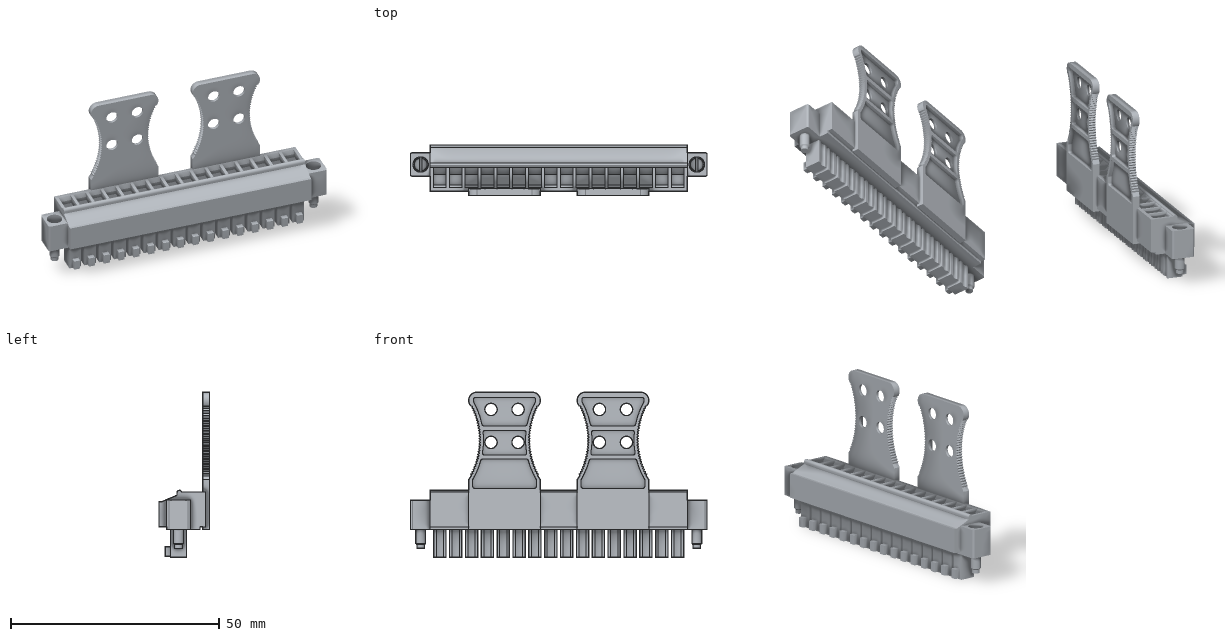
import cadquery as cq
import math


POLES = 16
PITCH = 3.81

LENGTH = 61.8
FRONT_Y = -6.45
BACK_Y = 4.72
TOP_Z = 9.04
UNDERCUT_Z = 0.68
FRONT_STEP_Y = -5.2
BACK_STEP_Y = 2.85
BACK_EDGE_Z = 6.72
BACK_LEDGE_Y = 4.04
SLOPE_TOP_Z = 8.26
RIDGE_BACK_Y = 0.39
RIDGE_BACK_RADIUS = 0.65
RIDGE_TOP_Z = 9.46
RIDGE_FRONT_RADIUS = RIDGE_TOP_Z - TOP_Z
RIDGE_Y = RIDGE_BACK_Y - RIDGE_BACK_RADIUS

POCKET_WIDTH = 3.07
POCKET_BACK_Y = RIDGE_Y - RIDGE_FRONT_RADIUS
POCKET_FRONT_Y = -5.57
FLOOR_BACK_Y = -2.4
FLOOR_FRONT_Y = -4.93
BACK_WALL_ANGLE = 47
FRONT_BEVEL_ANGLE = 56

LEG_WIDTH = 3.0
LEG_DEPTH = 3.92
LEG_LENGTH = 6.7
FLUTE_RADIUS = 1.3
FLUTE_WIDTH = 1.72
KEY_WIDTH = 1.5
KEY_REACH = 1.27
KEY_TOP_Z = -4.1
KEY_BOTTOM_Z = -6.45

TOTAL_LENGTH = 71.35
EAR_DEPTH = 5.68
EAR_HEIGHT = 7.1
EAR_ROUND = 0.5
SCREW_X = 33.18
HEAD_DIAMETER = 3.7
HEAD_TOP_Z = 4.0
HEAD_HEIGHT = 2.0
HEAD_CHAMFER = 0.3
DRIVER_SLOT_WIDTH = 0.66
DRIVER_SLOT_DEPTH = 0.8
SHANK_DIAMETER = 2.4
SHANK_END_Z = -3.3
TIP_DIAMETER = 1.85
TIP_TOP_Z = -3.6
TIP_END_Z = -4.5

HANDLE_X = 13.03
HANDLE_WIDTH = 17.26
HANDLE_FRONT_Y = -7.48
HANDLE_THICKNESS = 1.7
HANDLE_TOP_Z = 33.05
SHOULDER_Z = 12.0
CORNER_RADIUS = 2.0
CORNER_END_ANGLE = 222
WAIST_Z = 21.55
WAIST_HALF_WIDTH = 5.78
VALLEY_RADIUS = 18.0
TOOTH_DEPTH = 0.32
TOOTH_PITCH = 0.644
TEETH_ABOVE_WAIST = 13
TEETH_BELOW_WAIST = 14

PANEL_DEPTH = 1.0
PANELS = [(9.9, 16.96, 15.3), (17.9, 23.87, 15.3), (24.93, 31.8, 14.9)]
PANEL_WAIST_HALF_WIDTH = 5.05
PANEL_CORNER = 0.5
HOLE_DIAMETER = 2.9
HOLE_SPACING_X = 6.5
HOLE_ROWS_Z = (20.95, 28.87)

SIDES = (-1, 1)
POLE_XS = [(i - (POLES - 1) / 2) * PITCH for i in range(POLES)]
OVERSHOOT = 1.0


def box(x_span, y_span, z_span):
    """Box between the given limits on each axis."""
    size = [high - low for low, high in (x_span, y_span, z_span)]
    return cq.Workplane("XY").box(*size, centered=False).translate((x_span[0], y_span[0], z_span[0]))


def prism_along_x(outline, center_x, width):
    """Extrude a closed outline drawn in (Y, Z) symmetrically about center_x."""
    return outline.extrude(width / 2, both=True).translate((center_x, 0, 0))


def housing_block():
    """Long block with stepped underside, sloping back and a rounded ridge on top."""
    diagonal = math.sqrt(0.5)
    back_arc_mid = (
        RIDGE_Y + RIDGE_BACK_RADIUS * diagonal,
        RIDGE_TOP_Z - RIDGE_BACK_RADIUS * (1 - diagonal),
    )
    front_arc_mid = (
        RIDGE_Y - RIDGE_FRONT_RADIUS * diagonal,
        RIDGE_TOP_Z - RIDGE_FRONT_RADIUS * (1 - diagonal),
    )
    outline = (
        cq.Workplane("YZ")
        .moveTo(FRONT_STEP_Y, 0)
        .lineTo(BACK_STEP_Y, 0)
        .lineTo(BACK_STEP_Y, UNDERCUT_Z)
        .lineTo(BACK_Y, UNDERCUT_Z)
        .lineTo(BACK_Y, BACK_EDGE_Z)
        .lineTo(BACK_LEDGE_Y, BACK_EDGE_Z)
        .lineTo(RIDGE_BACK_Y, SLOPE_TOP_Z)
        .lineTo(RIDGE_BACK_Y, RIDGE_TOP_Z - RIDGE_BACK_RADIUS)
        .threePointArc(back_arc_mid, (RIDGE_Y, RIDGE_TOP_Z))
        .threePointArc(front_arc_mid, (RIDGE_Y - RIDGE_FRONT_RADIUS, TOP_Z))
        .lineTo(FRONT_Y, TOP_Z)
        .lineTo(FRONT_Y, UNDERCUT_Z)
        .lineTo(FRONT_STEP_Y, UNDERCUT_Z)
        .close()
    )
    return prism_along_x(outline, 0, LENGTH)


def wire_pocket(center_x):
    """Cutter for one funnel-shaped pocket open at the top."""
    back_slope = math.tan(math.radians(BACK_WALL_ANGLE))
    bevel_slope = math.tan(math.radians(FRONT_BEVEL_ANGLE))
    floor_z = TOP_Z - (POCKET_BACK_Y - FLOOR_BACK_Y) * back_slope
    bevel_z = TOP_Z - (FLOOR_FRONT_Y - POCKET_FRONT_Y) * bevel_slope
    outline = (
        cq.Workplane("YZ")
        .moveTo(POCKET_BACK_Y, TOP_Z)
        .lineTo(FLOOR_BACK_Y, floor_z)
        .lineTo(FLOOR_FRONT_Y, floor_z)
        .lineTo(FLOOR_FRONT_Y, bevel_z)
        .lineTo(POCKET_FRONT_Y, TOP_Z)
        .close()
    )
    return prism_along_x(outline, center_x, POCKET_WIDTH)


def plug_leg(center_x):
    """Leg below one pole, with a hollow flute down its front and a key on its back."""
    x_span = (center_x - LEG_WIDTH / 2, center_x + LEG_WIDTH / 2)
    leg = box(x_span, (-LEG_DEPTH / 2, LEG_DEPTH / 2), (-LEG_LENGTH, 0))
    axis_offset = math.sqrt(FLUTE_RADIUS**2 - (FLUTE_WIDTH / 2) ** 2)
    flute = (
        cq.Workplane("XY")
        .center(center_x, -LEG_DEPTH / 2 - axis_offset)
        .circle(FLUTE_RADIUS)
        .extrude(-LEG_LENGTH)
    )
    key = box(
        (center_x - KEY_WIDTH / 2, center_x + KEY_WIDTH / 2),
        (0, LEG_DEPTH / 2 + KEY_REACH),
        (KEY_BOTTOM_Z, KEY_TOP_Z),
    )
    return leg.cut(flute).union(key)


def ear(side):
    """Screw ear at one end, with its outer upright edges rounded."""
    length = (TOTAL_LENGTH - LENGTH) / 2
    blank = cq.Workplane("XY").box(length, EAR_DEPTH, EAR_HEIGHT, centered=(True, True, False))
    outer_edges = ">X and |Z" if side > 0 else "<X and |Z"
    return blank.edges(outer_edges).fillet(EAR_ROUND).translate((side * (LENGTH + length) / 2, 0, 0))


def screw_bore(side):
    """Counterbored hole that a screw fills below its head."""
    shoulder_z = HEAD_TOP_Z - HEAD_HEIGHT
    bore = cq.Workplane("XY").circle(SHANK_DIAMETER / 2).extrude(shoulder_z)
    head_room = (
        cq.Workplane("XY", origin=(0, 0, shoulder_z))
        .circle(HEAD_DIAMETER / 2)
        .extrude(EAR_HEIGHT - shoulder_z)
    )
    return bore.union(head_room).translate((side * SCREW_X, 0, 0))


def make_housing():
    """Housing block with ears, legs, wire pockets and screw bores."""
    housing = housing_block()
    for side in SIDES:
        housing = housing.union(ear(side)).cut(screw_bore(side))
    for x in POLE_XS:
        housing = housing.union(plug_leg(x)).cut(wire_pocket(x))
    return housing


def make_screw(side):
    """Slotted screw with a plain shank and a narrower tip."""
    shoulder_z = HEAD_TOP_Z - HEAD_HEIGHT
    profile = (
        cq.Workplane("XZ")
        .moveTo(0, HEAD_TOP_Z)
        .lineTo(HEAD_DIAMETER / 2 - HEAD_CHAMFER, HEAD_TOP_Z)
        .lineTo(HEAD_DIAMETER / 2, HEAD_TOP_Z - HEAD_CHAMFER)
        .lineTo(HEAD_DIAMETER / 2, shoulder_z)
        .lineTo(SHANK_DIAMETER / 2, shoulder_z)
        .lineTo(SHANK_DIAMETER / 2, SHANK_END_Z)
        .lineTo(TIP_DIAMETER / 2, TIP_TOP_Z)
        .lineTo(TIP_DIAMETER / 2, TIP_END_Z)
        .lineTo(0, TIP_END_Z)
        .close()
    )
    driver_slot = box(
        (-DRIVER_SLOT_WIDTH / 2, DRIVER_SLOT_WIDTH / 2),
        (-HEAD_DIAMETER, HEAD_DIAMETER),
        (HEAD_TOP_Z - DRIVER_SLOT_DEPTH, HEAD_TOP_Z + OVERSHOOT),
    )
    screw = profile.revolve(360, (0, 0, 0), (0, 1, 0)).cut(driver_slot)
    return screw.translate((side * SCREW_X, 0, 0))


def waist_point(radius, angle):
    """Point on the right-hand waist arc; the angle is in radians, measured up from the waist."""
    center_x = WAIST_HALF_WIDTH + VALLEY_RADIUS
    return (center_x - radius * math.cos(angle), WAIST_Z + radius * math.sin(angle))


def toothed_edge():
    """Tips and valleys of the right-hand grip teeth, from bottom to top."""
    step = TOOTH_PITCH / VALLEY_RADIUS
    points = []
    for tooth in range(-TEETH_BELOW_WAIST, TEETH_ABOVE_WAIST):
        points.append(waist_point(VALLEY_RADIUS, tooth * step))
        points.append(waist_point(VALLEY_RADIUS - TOOTH_DEPTH, (tooth + 0.5) * step))
    points.append(waist_point(VALLEY_RADIUS, TEETH_ABOVE_WAIST * step))
    return points


def handle_blank():
    """Plate with a waisted, toothed outline, centred on X = 0."""
    half = HANDLE_WIDTH / 2
    corner_x = half - CORNER_RADIUS
    corner_z = HANDLE_TOP_Z - CORNER_RADIUS
    end_angle = math.radians(CORNER_END_ANGLE)
    round_end = (
        corner_x - CORNER_RADIUS * math.cos(end_angle),
        corner_z + CORNER_RADIUS * math.sin(end_angle),
    )
    teeth = toothed_edge()
    mirrored_teeth = [(-x, z) for x, z in reversed(teeth)]
    outline = (
        cq.Workplane("XZ", origin=(0, HANDLE_FRONT_Y + HANDLE_THICKNESS, 0))
        .moveTo(-half, 0)
        .lineTo(half, 0)
        .lineTo(half, SHOULDER_Z)
    )
    for point in teeth:
        outline = outline.lineTo(*point)
    outline = (
        outline.lineTo(*round_end)
        .threePointArc((half, corner_z), (corner_x, HANDLE_TOP_Z))
        .lineTo(-corner_x, HANDLE_TOP_Z)
        .threePointArc((-half, corner_z), (-round_end[0], round_end[1]))
    )
    for point in mirrored_teeth:
        outline = outline.lineTo(*point)
    return outline.lineTo(-half, SHOULDER_Z).close().extrude(HANDLE_THICKNESS)


def front_panels():
    """Cutter for the sunk panels, whose sides follow the waist at an even distance."""
    waist_center_x = WAIST_HALF_WIDTH + VALLEY_RADIUS
    side_radius = waist_center_x - PANEL_WAIST_HALF_WIDTH
    back_y = HANDLE_FRONT_Y + PANEL_DEPTH
    front_y = HANDLE_FRONT_Y - OVERSHOOT
    waist_cut = (
        cq.Workplane("XZ", origin=(0, back_y, 0))
        .pushPoints([(side * waist_center_x, WAIST_Z) for side in SIDES])
        .circle(side_radius)
        .extrude(back_y - front_y)
    )
    panels = []
    for bottom_z, top_z, width in PANELS:
        panel = box((-width / 2, width / 2), (front_y, back_y), (bottom_z, top_z))
        panels.append(panel.cut(waist_cut).edges("|Y").fillet(PANEL_CORNER))
    return panels


def make_handle(center_x):
    """Pull handle whose back is notched to grip the housing front above and below."""
    half = HANDLE_WIDTH / 2
    notch = box(
        (-half, half),
        (FRONT_Y, FRONT_Y + HANDLE_THICKNESS),
        (UNDERCUT_Z, TOP_Z),
    )
    holes = (
        cq.Workplane("XZ", origin=(0, HANDLE_FRONT_Y + HANDLE_THICKNESS, 0))
        .pushPoints([(side * HOLE_SPACING_X / 2, z) for side in SIDES for z in HOLE_ROWS_Z])
        .circle(HOLE_DIAMETER / 2)
        .extrude(HANDLE_THICKNESS)
    )
    handle = handle_blank().cut(notch).cut(holes)
    for panel in front_panels():
        handle = handle.cut(panel)
    return handle.translate((center_x, 0, 0))


housing = make_housing()
screws = [make_screw(side) for side in SIDES]
handles = [make_handle(side * HANDLE_X) for side in SIDES]

result = cq.Compound.makeCompound(
    [housing.val()] + [screw.val() for screw in screws] + [handle.val() for handle in handles]
)